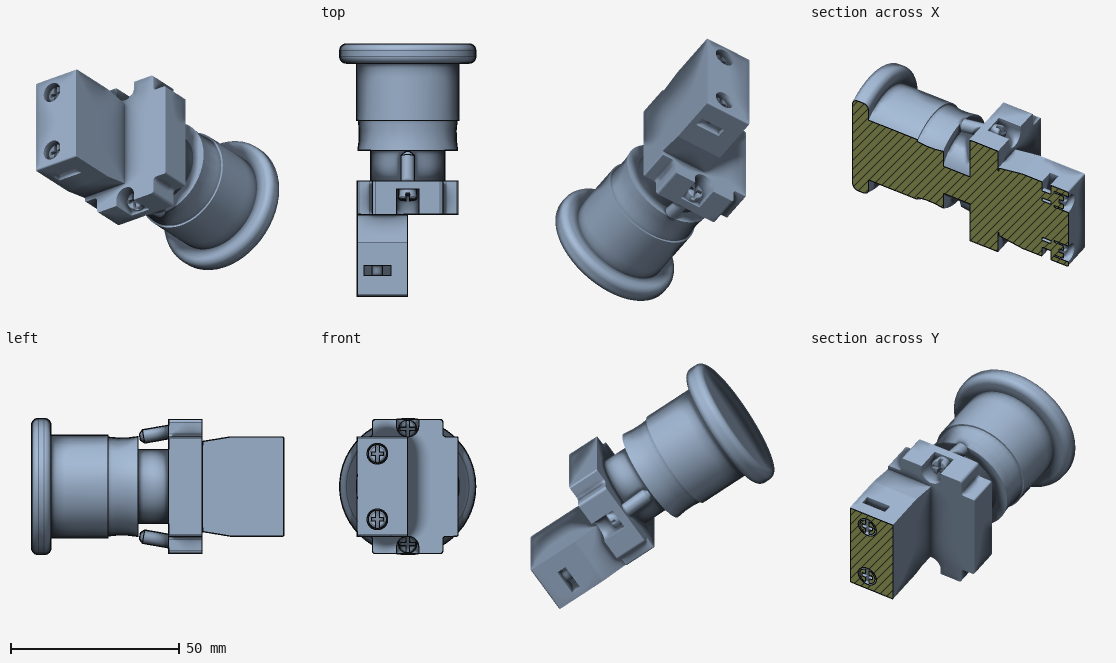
import cadquery as cq


OVERALL_LENGTH = 75.0

HEAD_RADIUS = 20.25
HEAD_THICKNESS = 5.8
HEAD_FILLET = 2.0
SLEEVE_RADIUS = 15.3
SLEEVE_END = 22.7
GASKET_START_RADIUS = 14.7
GASKET_WAIST_RADIUS = 14.4
GASKET_END_RADIUS = 14.85
GASKET_END = 31.65
NECK_RADIUS = 11.0

COLLAR_BACK = 40.7
COLLAR_THICKNESS = 10.0
COLLAR_FRONT = COLLAR_BACK + COLLAR_THICKNESS
COLLAR_HALF_WIDTH = 15.0
BODY_HALF_HEIGHT = 14.8
TAB_HALF_WIDTH = 10.5
TAB_HALF_HEIGHT = 19.95
TAB_FILLET = 0.9
BODY_FILLET = 0.5
POCKET_RADIUS = 3.3
POCKET_DEPTH = 7.5

BLOCK_ROOT_HALF_HEIGHT = 13.4
BLOCK_TAPER_LENGTH = 8.25
SEAM_WIDTH = 0.15
SEAM_DEPTH = 1.1
BLOCK_BACK = COLLAR_FRONT + SEAM_WIDTH
BLOCK_FILLET = 0.5
WIRE_SLOT_WIDTH = 7.95
WIRE_SLOT_LENGTH = 2.9
WIRE_SLOT_BACK = 65.9
WIRE_SLOT_DEPTH = 7.5

SCREW_HEAD_RADIUS = 2.7
SCREW_HEAD_HEIGHT = 3.15
SCREW_HEAD_FILLET = 0.5
CROSS_WIDTH = 1.1
CROSS_DEPTH = 1.5
CLAMP_SCREW_RADIUS = 2.0
CLAMP_SCREW_LENGTH = 14.3
CLAMP_CROSS_LENGTH = 4.5
CLAMP_SCREW_TIP = 1.1
CLAMP_SCREW_TILT = 10.0
CLAMP_FACE_POSITION = 46.3
CLAMP_FACE_HEIGHT = 17.2
TERMINAL_X = -9.0
TERMINAL_Z = 9.75
TERMINAL_HOLE_RADIUS = 3.1
TERMINAL_RECESS = 1.7
TERMINAL_SHAFT_RADIUS = 1.6
TERMINAL_SCREW_LENGTH = 9.0
TERMINAL_CROSS_LENGTH = 3.6


def on_both_sides(shape):
    """Join a shape with its mirror image below the XY plane."""
    return shape.union(shape.mirror("XY"))


def make_round_body():
    """Mushroom head, sleeve, waisted gasket and neck turned about the Y axis."""
    gasket_middle = (SLEEVE_END + GASKET_END) / 2
    stem = (
        cq.Workplane("XY")
        .moveTo(0, -HEAD_THICKNESS)
        .lineTo(SLEEVE_RADIUS, -HEAD_THICKNESS)
        .lineTo(SLEEVE_RADIUS, -SLEEVE_END)
        .lineTo(GASKET_START_RADIUS, -SLEEVE_END)
        .threePointArc((GASKET_WAIST_RADIUS, -gasket_middle), (GASKET_END_RADIUS, -GASKET_END))
        .lineTo(NECK_RADIUS, -GASKET_END)
        .lineTo(NECK_RADIUS, -COLLAR_BACK)
        .lineTo(0, -COLLAR_BACK)
        .close()
        .revolve(360, (0, 0, 0), (0, 1, 0))
    )
    head = cq.Workplane("XZ").circle(HEAD_RADIUS).extrude(HEAD_THICKNESS)
    head = head.edges().fillet(HEAD_FILLET)
    return head.union(stem)


def make_collar():
    """Cross-shaped plate with a screw pocket open to the end of each tab."""
    plane = cq.Workplane("XZ", origin=(0, -COLLAR_BACK, 0))
    body = plane.rect(2 * COLLAR_HALF_WIDTH, 2 * BODY_HALF_HEIGHT).extrude(COLLAR_THICKNESS)
    body = body.edges("|Y").fillet(BODY_FILLET)
    tabs = plane.rect(2 * TAB_HALF_WIDTH, 2 * TAB_HALF_HEIGHT).extrude(COLLAR_THICKNESS)
    tabs = tabs.edges("|Y").fillet(TAB_FILLET)
    collar = body.union(tabs)
    inner_corners = cq.selectors.BoxSelector(
        (-TAB_HALF_WIDTH - BODY_FILLET, -COLLAR_FRONT, -BODY_HALF_HEIGHT - BODY_FILLET),
        (TAB_HALF_WIDTH + BODY_FILLET, -COLLAR_BACK, BODY_HALF_HEIGHT + BODY_FILLET),
    )
    collar = collar.edges("|Y").edges(inner_corners).fillet(TAB_FILLET)

    pocket_center = BODY_HALF_HEIGHT + POCKET_RADIUS
    pocket = (
        cq.Workplane("XZ", origin=(0, POCKET_DEPTH - COLLAR_FRONT, 0))
        .moveTo(-POCKET_RADIUS, TAB_HALF_HEIGHT)
        .lineTo(-POCKET_RADIUS, pocket_center)
        .threePointArc((0, BODY_HALF_HEIGHT), (POCKET_RADIUS, pocket_center))
        .lineTo(POCKET_RADIUS, TAB_HALF_HEIGHT)
        .close()
        .extrude(POCKET_DEPTH)
    )
    return collar.cut(on_both_sides(pocket))


def make_screw(shaft_radius, length, short_slot_length):
    """Cross-slotted screw with its head face on z = 0 and its shaft toward -Z."""
    head = cq.Workplane("XY").circle(SCREW_HEAD_RADIUS).extrude(-SCREW_HEAD_HEIGHT)
    head = head.faces(">Z").edges().fillet(SCREW_HEAD_FILLET)
    long_slot = cq.Workplane("XY").rect(CROSS_WIDTH, 2 * SCREW_HEAD_RADIUS).extrude(-CROSS_DEPTH)
    short_slot = cq.Workplane("XY").rect(short_slot_length, CROSS_WIDTH).extrude(-CROSS_DEPTH)
    shaft = (
        cq.Workplane("XY", origin=(0, 0, -SCREW_HEAD_HEIGHT))
        .circle(shaft_radius)
        .extrude(SCREW_HEAD_HEIGHT - length)
    )
    return head.cut(long_slot).cut(short_slot).union(shaft)


def make_clamp_screws():
    """Tilted screws through the collar, their pointed tips leaning toward the axis."""
    screw = make_screw(CLAMP_SCREW_RADIUS, CLAMP_SCREW_LENGTH, CLAMP_CROSS_LENGTH)
    screw = screw.faces("<Z").chamfer(CLAMP_SCREW_TIP)
    screw = screw.rotate((0, 0, 0), (1, 0, 0), 90 - CLAMP_SCREW_TILT)
    screw = screw.translate((0, -CLAMP_FACE_POSITION, CLAMP_FACE_HEIGHT))
    return on_both_sides(screw)


def make_contact_block():
    """Tapered block with two recessed terminal screws that cross the wire slots."""
    taper_end = BLOCK_BACK + BLOCK_TAPER_LENGTH
    block = (
        cq.Workplane("YZ")
        .moveTo(-BLOCK_BACK, BLOCK_ROOT_HALF_HEIGHT)
        .lineTo(-taper_end, BODY_HALF_HEIGHT)
        .lineTo(-OVERALL_LENGTH, BODY_HALF_HEIGHT)
        .lineTo(-OVERALL_LENGTH, -BODY_HALF_HEIGHT)
        .lineTo(-taper_end, -BODY_HALF_HEIGHT)
        .lineTo(-BLOCK_BACK, -BLOCK_ROOT_HALF_HEIGHT)
        .close()
        .extrude(-COLLAR_HALF_WIDTH)
    )
    block = block.faces("<Y").edges("|X").fillet(BLOCK_FILLET)

    screw_hole = (
        cq.Workplane("XZ", origin=(TERMINAL_X, -OVERALL_LENGTH, TERMINAL_Z))
        .circle(TERMINAL_HOLE_RADIUS)
        .extrude(-TERMINAL_RECESS - SCREW_HEAD_HEIGHT)
    )
    slot_middle = WIRE_SLOT_BACK + WIRE_SLOT_LENGTH / 2
    wire_slot = (
        cq.Workplane("XY", origin=(TERMINAL_X, -slot_middle, BODY_HALF_HEIGHT))
        .rect(WIRE_SLOT_WIDTH, WIRE_SLOT_LENGTH)
        .extrude(-WIRE_SLOT_DEPTH)
    )
    screw = make_screw(TERMINAL_SHAFT_RADIUS, TERMINAL_SCREW_LENGTH, TERMINAL_CROSS_LENGTH)
    screw = screw.rotate((0, 0, 0), (1, 0, 0), 90)
    screw = screw.translate((TERMINAL_X, TERMINAL_RECESS - OVERALL_LENGTH, TERMINAL_Z))
    block = block.cut(on_both_sides(screw_hole)).cut(on_both_sides(wire_slot))
    return block.union(on_both_sides(screw))


def make_seam_core():
    """Inset web that joins the block to the collar and leaves a thin seam around it."""
    block_middle = -COLLAR_HALF_WIDTH / 2
    core_width = COLLAR_HALF_WIDTH - 2 * SEAM_DEPTH
    core_height = 2 * (BLOCK_ROOT_HALF_HEIGHT - SEAM_DEPTH)
    plane = cq.Workplane("XZ", origin=(block_middle, -COLLAR_FRONT, 0))
    return plane.rect(core_width, core_height).extrude(SEAM_WIDTH)


result = (
    make_round_body()
    .union(make_collar())
    .union(make_seam_core())
    .union(make_contact_block())
    .union(make_clamp_screws())
)